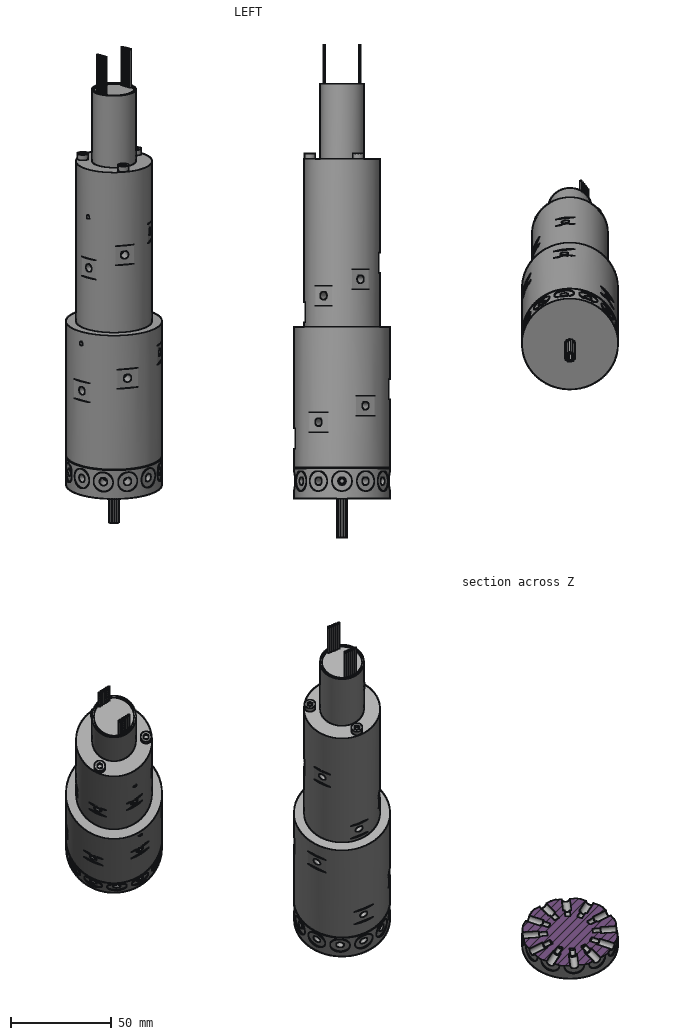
import cadquery as cq
import math

BODY_RADIUS = 24.0
RING_HEIGHT = 15.0
GROOVE_WIDTH = 0.5
GROOVE_RADIUS = 18.0
LOWER_BODY_LENGTH = 70.0
UPPER_RADIUS = 19.0
UPPER_LENGTH = 83.7
CORE_RADIUS = 11.0
CORE_LENGTH = 37.5
CORE_RIM = 1.0
CORE_RECESS = 0.5

GROOVE_TOP_Z = RING_HEIGHT + GROOVE_WIDTH
SHOULDER_Z = GROOVE_TOP_Z + LOWER_BODY_LENGTH
UPPER_TOP_Z = SHOULDER_Z + UPPER_LENGTH
CORE_TOP_Z = UPPER_TOP_Z + CORE_LENGTH
CORE_FLOOR_Z = CORE_TOP_Z - CORE_RECESS

WIRE_DIAMETER = 1.1
WIRE_PITCH = 1.12
WIRE_LENGTH = 19.5
BUNDLE_COUNT = 12
BUNDLE_RADIUS = WIRE_PITCH / 2 / math.sin(math.pi / BUNDLE_COUNT)
ROW_COUNT = 6
ROW_OFFSET = 8.9

SCREW_CIRCLE_RADIUS = 16.0
SCREW_HEAD_DIAMETER = 5.5
SCREW_HEAD_HEIGHT = 2.8
SOCKET_SIZE = 3.0
SOCKET_DEPTH = 1.5
SCREW_COUNT = 3
FIRST_SCREW_ANGLE = 90

SEAT_DEPTH = 0.6
SEAT_CLEARANCE = 1.0
PORT_DIAMETER = 4.0
PORT_DEPTH = 8.0
PASSAGE_DIAMETER = 2.5
PASSAGE_DEPTH = 12.0
RING_PORT_COUNT = 12
RING_PORT_Z = 8.7
RING_SEAT_DIAMETER = 10.0

SPIRAL_COUNT = 6
SPIRAL_FIRST_ANGLE = 90
SPIRAL_RISE = 8.2
FLAT_HEIGHT = 10.0
LOWER_SPIRAL_Z = 29.9
UPPER_SPIRAL_Z = 92.9

PIN_DIAMETER = 2.0
PIN_DEPTH = 3.0
PIN_ANGLE = 270
LOWER_PIN_Z = 79.3
UPPER_PIN_Z = 144.3


def cylinder(radius, bottom, top):
    """Solid cylinder on the Z axis."""
    return cq.Workplane("XY").workplane(offset=bottom).circle(radius).extrude(top - bottom)


def polar_points(count, radius, first_angle=0.0):
    """Points evenly spaced on a circle around the Z axis."""
    angles = [math.radians(first_angle + i * 360 / count) for i in range(count)]
    return [(radius * math.cos(a), radius * math.sin(a)) for a in angles]


def radial_plane(angle, distance, z):
    """Workplane facing outward, at a given angle and distance from the Z axis."""
    a = math.radians(angle)
    outward = cq.Vector(math.cos(a), math.sin(a), 0)
    tangent = (-math.sin(a), math.cos(a), 0)
    origin = outward * distance + cq.Vector(0, 0, z)
    return cq.Workplane(cq.Plane(origin=origin, xDir=tangent, normal=outward))


def radial_hole(angle, distance, z, diameter, depth):
    """Cutter for a blind hole running inward from the given distance."""
    return radial_plane(angle, distance, z).circle(diameter / 2).extrude(-depth)


def port(angle, seat_distance, z):
    """Cutter for a port that narrows to a smaller passage at its inner end."""
    bore = radial_hole(angle, seat_distance, z, PORT_DIAMETER, PORT_DEPTH)
    passage = radial_hole(angle, seat_distance, z, PASSAGE_DIAMETER, PASSAGE_DEPTH)
    return bore.union(passage)


def make_bodies():
    """Port ring, groove neck, the two large bodies and the recessed core."""
    bodies = cylinder(BODY_RADIUS, 0, RING_HEIGHT)
    bodies = bodies.union(cylinder(GROOVE_RADIUS, RING_HEIGHT, GROOVE_TOP_Z))
    bodies = bodies.union(cylinder(BODY_RADIUS, GROOVE_TOP_Z, SHOULDER_Z))
    bodies = bodies.union(cylinder(UPPER_RADIUS, SHOULDER_Z, UPPER_TOP_Z))
    bodies = bodies.union(cylinder(CORE_RADIUS, UPPER_TOP_Z, CORE_TOP_Z))
    return bodies.cut(cylinder(CORE_RADIUS - CORE_RIM, CORE_FLOOR_Z, CORE_TOP_Z))


def make_wires(points, bottom, top):
    """Parallel vertical wires at the given points."""
    plane = cq.Workplane("XY").workplane(offset=bottom)
    return plane.pushPoints(points).circle(WIRE_DIAMETER / 2).extrude(top - bottom)


def row_points():
    """Wire centres of the two flat rows on the +Y and -Y sides of the core."""
    middle = (ROW_COUNT - 1) / 2
    return [((i - middle) * WIRE_PITCH, y) for i in range(ROW_COUNT) for y in (-ROW_OFFSET, ROW_OFFSET)]


def make_screws():
    """Heads of the cap screws, with hexagon sockets."""
    centers = polar_points(SCREW_COUNT, SCREW_CIRCLE_RADIUS, FIRST_SCREW_ANGLE)
    seat = cq.Workplane("XY").workplane(offset=UPPER_TOP_Z)
    heads = seat.pushPoints(centers).circle(SCREW_HEAD_DIAMETER / 2).extrude(SCREW_HEAD_HEIGHT)
    top = cq.Workplane("XY").workplane(offset=UPPER_TOP_Z + SCREW_HEAD_HEIGHT)
    sockets = top.pushPoints(centers).polygon(6, SOCKET_SIZE).extrude(-SOCKET_DEPTH)
    return heads.cut(sockets)


def cut_ring_ports(part):
    """Ports around the ring, each in a round spot-faced seat."""
    seat_distance = BODY_RADIUS - SEAT_DEPTH
    for i in range(RING_PORT_COUNT):
        angle = i * 360 / RING_PORT_COUNT
        plane = radial_plane(angle, seat_distance, RING_PORT_Z)
        part = part.cut(plane.circle(RING_SEAT_DIAMETER / 2).extrude(SEAT_DEPTH + SEAT_CLEARANCE))
        part = part.cut(port(angle, seat_distance, RING_PORT_Z))
    return part


def cut_spiral_ports(part, radius, first_z):
    """Ports climbing around a body, each in a milled flat."""
    seat_distance = radius - SEAT_DEPTH
    for i in range(SPIRAL_COUNT):
        angle = SPIRAL_FIRST_ANGLE + i * 360 / SPIRAL_COUNT
        z = first_z + i * SPIRAL_RISE
        plane = radial_plane(angle, seat_distance, z)
        part = part.cut(plane.rect(2 * radius, FLAT_HEIGHT).extrude(SEAT_DEPTH + SEAT_CLEARANCE))
        part = part.cut(port(angle, seat_distance, z))
    return part


def cut_pin_holes(part):
    """One small hole near the top of each large body."""
    for radius, z in ((BODY_RADIUS, LOWER_PIN_Z), (UPPER_RADIUS, UPPER_PIN_Z)):
        part = part.cut(radial_hole(PIN_ANGLE, radius, z, PIN_DIAMETER, PIN_DEPTH))
    return part


part = make_bodies()
part = part.union(make_screws())
part = cut_ring_ports(part)
part = cut_spiral_ports(part, BODY_RADIUS, LOWER_SPIRAL_Z)
part = cut_spiral_ports(part, UPPER_RADIUS, UPPER_SPIRAL_Z)
part = cut_pin_holes(part)
part = part.union(make_wires(polar_points(BUNDLE_COUNT, BUNDLE_RADIUS), -WIRE_LENGTH, 0))
result = part.union(make_wires(row_points(), CORE_FLOOR_Z, CORE_TOP_Z + WIRE_LENGTH))